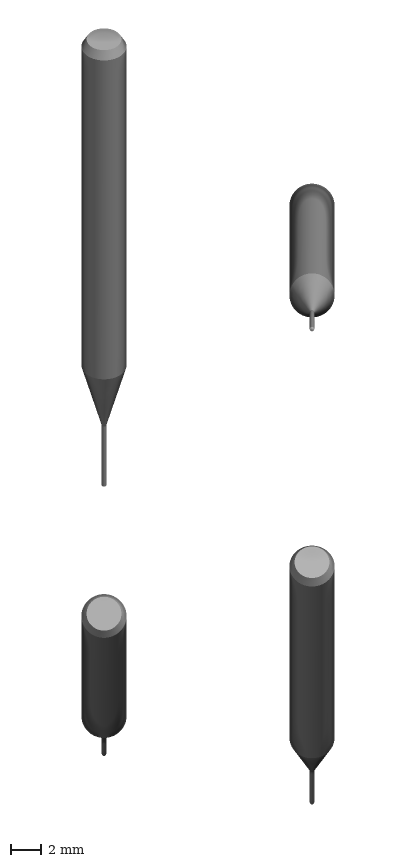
import cadquery as cq
import math

overall_length = 38.07
shank_radius = 1.505
shank_start = 10.28
end_chamfer_width = 0.35
end_chamfer_height = 0.6
neck_radius = 0.15
neck_top = 5.18
cutter_radius = neck_radius
point_angle = 140.0
point_height = cutter_radius / math.tan(math.radians(point_angle / 2))
cutter_length = 1.0


def turn(profile):
    """Revolve a closed half profile, drawn in radius and height, about Z."""
    return profile.revolve(360, (0, 0, 0), (0, 1, 0))


def make_cutter():
    """Cylinder enclosing the cutting edges, with a shallow conical point at the bottom."""
    profile = (
        cq.Workplane("XZ")
        .moveTo(0, 0)
        .lineTo(cutter_radius, point_height)
        .lineTo(cutter_radius, cutter_length)
        .lineTo(0, cutter_length)
        .close()
    )
    return turn(profile)


def make_shank():
    """Neck, cone and chamfered shank, turned as one body above the cutter."""
    profile = (
        cq.Workplane("XZ")
        .moveTo(0, cutter_length)
        .lineTo(neck_radius, cutter_length)
        .lineTo(neck_radius, neck_top)
        .lineTo(shank_radius, shank_start)
        .lineTo(shank_radius, overall_length - end_chamfer_height)
        .lineTo(shank_radius - end_chamfer_width, overall_length)
        .lineTo(0, overall_length)
        .close()
    )
    return turn(profile)


cutter = make_cutter()
shank = make_shank()
result = cq.Compound.makeCompound([cutter.val(), shank.val()])